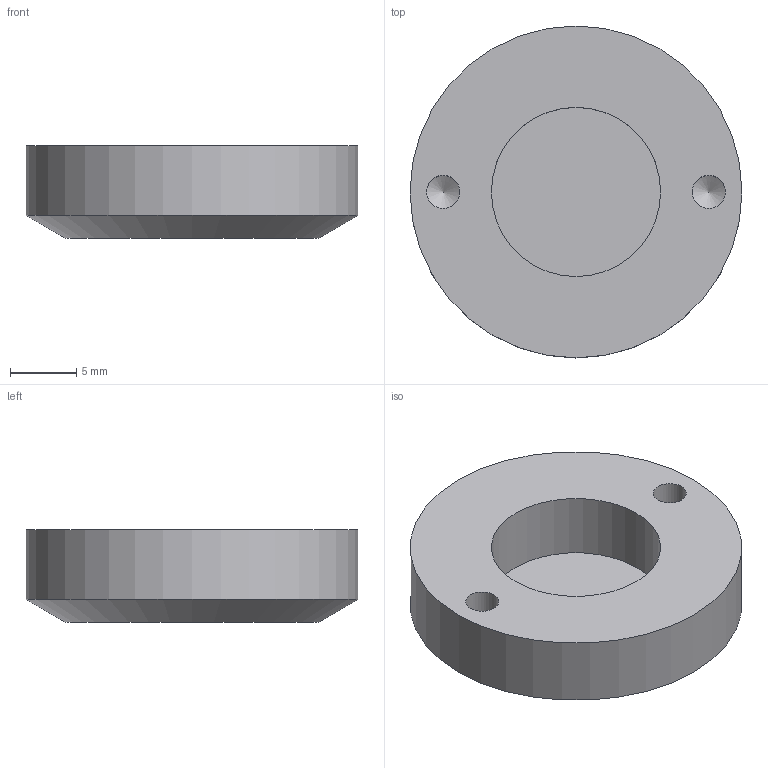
import cadquery as cq
import math

disc_diameter = 25.0
disc_height = 7.0
taper_inset = 3.0
taper_angle = 30.0
taper_height = taper_inset * math.tan(math.radians(taper_angle))

pocket_diameter = 12.75
pocket_depth = 5.0

pin_hole_diameter = 2.5
pin_hole_spacing = 20.0
pin_hole_depth = 4.0
drill_tip_angle = 118.0


def make_disc():
    """Round disc whose lower edge tapers inward."""
    radius = disc_diameter / 2
    profile = [
        (0, 0),
        (radius - taper_inset, 0),
        (radius, taper_height),
        (radius, disc_height),
        (0, disc_height),
    ]
    return cq.Workplane("XZ").polyline(profile).close().revolve(360, (0, 0), (0, 1))


def make_pocket():
    """Cylinder that is removed from the middle of the top face."""
    floor = disc_height - pocket_depth
    return cq.Workplane("XY").workplane(offset=floor).circle(pocket_diameter / 2).extrude(pocket_depth)


def make_pin_hole(x):
    """Drill shape entering the top face at the given X position."""
    radius = pin_hole_diameter / 2
    tip_length = radius / math.tan(math.radians(drill_tip_angle / 2))
    straight_end = disc_height - pin_hole_depth
    profile = [
        (0, disc_height),
        (radius, disc_height),
        (radius, straight_end),
        (0, straight_end - tip_length),
    ]
    drill = cq.Workplane("XZ").polyline(profile).close().revolve(360, (0, 0), (0, 1))
    return drill.translate((x, 0, 0))


result = make_disc().cut(make_pocket())
for side in (-1, 1):
    result = result.cut(make_pin_hole(side * pin_hole_spacing / 2))